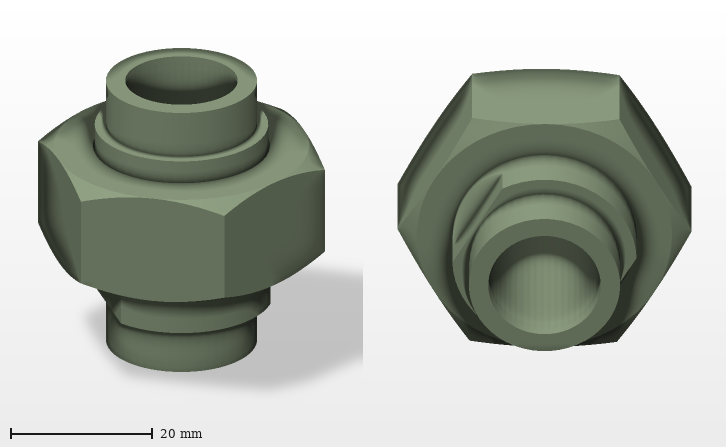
import cadquery as cq
import math

total_height = 40.5
bore_radius = 7.95
tube_radius = 10.7

nut_bottom = 14.4
nut_top = 30.4
nut_across_corners = 41.55
nut_across_flats = nut_across_corners * math.cos(math.radians(30))
nut_chamfer_angle = 30.0
lip_thickness = 3.33
lip_hole_radius = 12.5

shoulder_radius = 13.0
shoulder_bottom = 7.2
wrench_flat_distance = 11.0
wrench_flat_top = 11.6

collar_radius = 12.25
collar_top = 33.67
flange_thickness = 3.33

flange_top = nut_top - lip_thickness
seal_face = flange_top - flange_thickness


def cylinder(radius, bottom, top):
    return cq.Workplane("XY").workplane(offset=bottom).circle(radius).extrude(top - bottom)


def make_nut():
    corner_radius = nut_across_corners / 2
    chamfer_start = nut_across_flats / 2
    chamfer_drop = (corner_radius - chamfer_start) * math.tan(math.radians(nut_chamfer_angle))
    hexagon = (
        cq.Workplane("XY")
        .workplane(offset=nut_bottom)
        .polygon(6, nut_across_corners)
        .extrude(nut_top - nut_bottom)
    )
    envelope = (
        cq.Workplane("XZ")
        .moveTo(0, nut_bottom)
        .lineTo(chamfer_start, nut_bottom)
        .lineTo(corner_radius, nut_bottom + chamfer_drop)
        .lineTo(corner_radius, nut_top - chamfer_drop)
        .lineTo(chamfer_start, nut_top)
        .lineTo(0, nut_top)
        .close()
        .revolve(360, (0, 0), (0, 1))
    )
    socket = cylinder(shoulder_radius, nut_bottom, flange_top)
    lip_hole = cylinder(lip_hole_radius, flange_top, nut_top)
    return hexagon.intersect(envelope).cut(socket).cut(lip_hole)


def wrench_flat_cutter(side):
    """Cut for one flat; side is -1 or +1 along Y."""
    runout = shoulder_radius - wrench_flat_distance
    return (
        cq.Workplane("YZ")
        .moveTo(side * wrench_flat_distance, shoulder_bottom)
        .lineTo(side * wrench_flat_distance, wrench_flat_top)
        .lineTo(side * shoulder_radius, wrench_flat_top + runout)
        .lineTo(side * shoulder_radius, shoulder_bottom)
        .close()
        .extrude(shoulder_radius, both=True)
    )


def make_lower_body():
    body = cylinder(shoulder_radius, shoulder_bottom, seal_face)
    for side in (-1, 1):
        body = body.cut(wrench_flat_cutter(side))
    body = body.union(cylinder(tube_radius, 0, shoulder_bottom))
    return body.cut(cylinder(bore_radius, 0, seal_face))


def make_tailpiece():
    flange = cylinder(shoulder_radius, seal_face, flange_top)
    collar = cylinder(collar_radius, flange_top, collar_top)
    tube = cylinder(tube_radius, collar_top, total_height)
    return flange.union(collar).union(tube).cut(cylinder(bore_radius, seal_face, total_height))


nut = make_nut()
lower_body = make_lower_body()
tailpiece = make_tailpiece()

result = cq.Compound.makeCompound([nut.val(), lower_body.val(), tailpiece.val()])